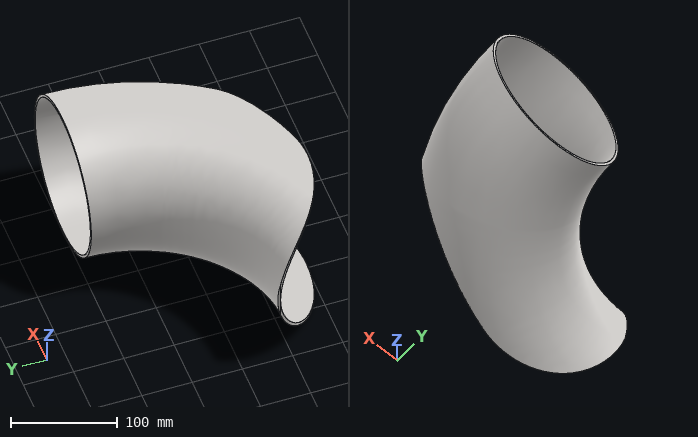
import cadquery as cq

bend_radius = 216.0
tube_radius = 79.5
wall = 3.0
bore_radius = tube_radius - wall

trim_join_x = 129.0

elbow_reach = bend_radius + tube_radius
clearance = 29.5


def mitre_y(x):
    """Parabola on which the elbow and an equal pipe tangent to it along X intersect."""
    return x**2 / (4 * bend_radius) - bend_radius


def make_elbow():
    profile = cq.Workplane("XZ").center(bend_radius, 0).circle(tube_radius).circle(bore_radius)
    return profile.revolve(90, (-bend_radius, 0), (-bend_radius, -1))


def make_trim_block():
    """Space kept by the trim: bounded below by the mitre parabola and a tangent arc to the tip."""
    outer_x = elbow_reach + clearance
    middle_pole = (
        (outer_x + trim_join_x) / 2,
        outer_x * trim_join_x / (4 * bend_radius) - bend_radius,
    )
    tip_bore_y = -(bend_radius - bore_radius)
    outline = (
        cq.Workplane("XY", origin=(0, 0, -elbow_reach))
        .moveTo(outer_x, mitre_y(outer_x))
        .bezier([middle_pole, (trim_join_x, mitre_y(trim_join_x))], includeCurrent=True)
        .tangentArcPoint((0, tip_bore_y), relative=False)
        .lineTo(-clearance, tip_bore_y)
        .lineTo(-clearance, clearance)
        .lineTo(outer_x, clearance)
        .close()
    )
    return outline.extrude(2 * elbow_reach)


result = make_elbow().intersect(make_trim_block())